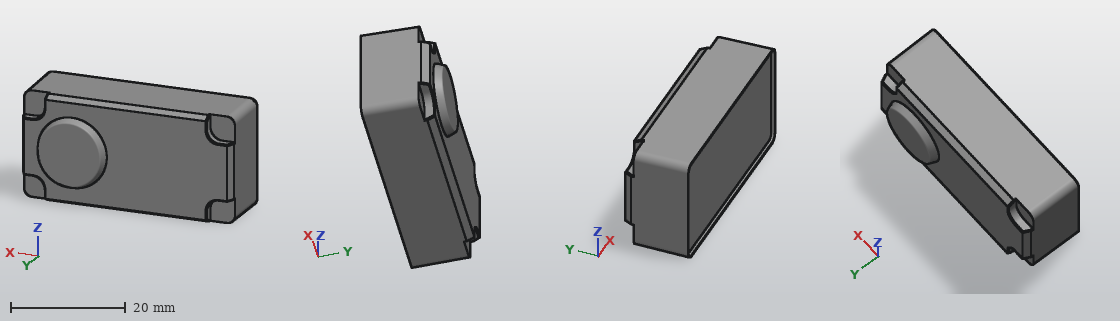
import cadquery as cq
import math

LENGTH = 39.8
WIDTH = 19.9
TOTAL_DEPTH = 13.75

HOUSING_DEPTH = 12.2
CORNER_RADIUS = 1.5
DRAFT_ANGLE = 0.5
BEVEL_DEPTH = 1.4
BEVEL_INSET = 0.7

RIM_WIDTH = 0.22
PANEL_INSET = 0.42
PANEL_RECESS = 0.6

NOTCH_SIZE = 4.67
NOTCH_DEPTH = 1.87
NOTCH_RADIUS = 2.25
NOTCH_EDGE_BEVEL = 0.18

BUTTON_X = 10.0
BUTTON_BASE_RADIUS = 6.5
BUTTON_TOP_RADIUS = 5.9
BUTTON_EDGE_RADIUS = 0.3

STRAIGHT_DEPTH = HOUSING_DEPTH - BEVEL_DEPTH
DRAFT_INSET = STRAIGHT_DEPTH * math.tan(math.radians(DRAFT_ANGLE))
NOTCH_FLOOR_Y = HOUSING_DEPTH - NOTCH_DEPTH
BUTTON_HEIGHT = TOTAL_DEPTH - HOUSING_DEPTH
CORNERS = [(side_x, side_z) for side_x in (-1, 1) for side_z in (-1, 1)]


def plane_at(y):
    """Workplane at depth y, with local x along +X, local y along -Z and its normal along +Y."""
    return cq.Workplane(cq.Plane(origin=(0, y, 0), xDir=(1, 0, 0), normal=(0, 1, 0)))


def taper_angle(inset, depth):
    """Draft angle in degrees that moves a wall inward by inset over the given depth."""
    return math.degrees(math.atan(inset / depth))


def make_housing():
    straight = (
        plane_at(0)
        .rect(LENGTH, WIDTH)
        .extrude(STRAIGHT_DEPTH, taper=DRAFT_ANGLE)
        .edges("not(#Y)")
        .fillet(CORNER_RADIUS)
    )
    back = (
        plane_at(STRAIGHT_DEPTH)
        .rect(LENGTH - 2 * DRAFT_INSET, WIDTH - 2 * DRAFT_INSET)
        .extrude(BEVEL_DEPTH, taper=taper_angle(BEVEL_INSET, BEVEL_DEPTH))
    )
    return straight.union(back)


def make_panel_recess():
    opening = (
        cq.Sketch()
        .rect(LENGTH - 2 * RIM_WIDTH, WIDTH - 2 * RIM_WIDTH)
        .vertices()
        .fillet(CORNER_RADIUS - RIM_WIDTH)
    )
    wall_taper = taper_angle(PANEL_INSET - RIM_WIDTH, PANEL_RECESS)
    return plane_at(0).placeSketch(opening).extrude(PANEL_RECESS, taper=wall_taper)


def make_notch_cutter(side_x, side_z):
    """Block centred on a housing corner, so one rounded quarter of it cuts the notch."""
    return (
        plane_at(NOTCH_FLOOR_Y)
        .center(side_x * LENGTH / 2, side_z * WIDTH / 2)
        .rect(2 * NOTCH_SIZE, 2 * NOTCH_SIZE)
        .extrude(NOTCH_DEPTH)
        .edges("|Y")
        .fillet(NOTCH_RADIUS)
    )


def notch_rim_selector(side_x, side_z):
    """Outer edges of one notch wall: everything in that corner above the floor but the wall seams."""
    margin = 0.05
    inner_corner = (
        side_x * (LENGTH / 2 - NOTCH_SIZE - margin),
        NOTCH_FLOOR_Y + margin,
        side_z * (WIDTH / 2 - NOTCH_SIZE - margin),
    )
    outer_corner = (side_x * LENGTH / 2, HOUSING_DEPTH + margin, side_z * WIDTH / 2)
    in_corner = cq.selectors.BoxSelector(inner_corner, outer_corner)
    wall_seams = cq.selectors.ParallelDirSelector(cq.Vector(0, 1, 0))
    return in_corner - wall_seams


def cut_corner_notches(housing):
    for side_x, side_z in CORNERS:
        housing = housing.cut(make_notch_cutter(side_x, side_z))
    for side_x, side_z in CORNERS:
        housing = housing.edges(notch_rim_selector(side_x, side_z)).chamfer(NOTCH_EDGE_BEVEL)
    return housing


def make_button():
    button_taper = taper_angle(BUTTON_BASE_RADIUS - BUTTON_TOP_RADIUS, BUTTON_HEIGHT)
    return (
        plane_at(HOUSING_DEPTH)
        .center(BUTTON_X, 0)
        .circle(BUTTON_BASE_RADIUS)
        .extrude(BUTTON_HEIGHT, taper=button_taper)
        .faces(">Y")
        .edges()
        .fillet(BUTTON_EDGE_RADIUS)
    )


housing = cut_corner_notches(make_housing())
result = housing.cut(make_panel_recess()).union(make_button())